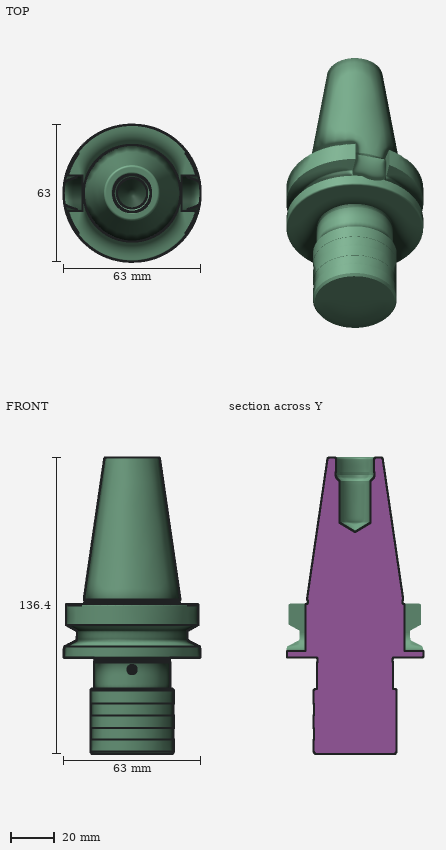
import cadquery as cq
import math

total_height = 136.4
taper_ratio = 7 / 24
gauge_height = 71.0
gauge_radius = 22.2
taper_top_fillet = 1.1
taper_relief_depth = 0.4

relief_parts = 3

flange_radius = 31.5
flange_bottom = 44.2
flange_top = 69.0
flange_edge_fillet = 0.8
grip_groove_radius = 26.6
grip_groove_floor_bottom = 52.2
grip_groove_floor_top = 56.6
grip_groove_angle = 30.0
grip_groove_fillet = 0.5

slot_width = 16.1
slot_floor_distance = 22.8
slot_bottom = 47.6

neck_radius = 17.6
neck_relief_height = 2.0
neck_relief_depth = 0.3

collar_radius = 19.2
collar_top = 30.1
collar_top_chamfer = 0.8
collar_bottom_chamfer_height = 1.2
collar_bottom_chamfer_width = 0.8
band_bottoms = (6.7, 17.9)
band_width = 5.3
band_depth = 0.1

bore_radius = 8.6
bore_depth = 7.0
bore_mouth_fillet = 1.1
undercut_radius = 8.9
undercut_wall_depth = 8.2
countersink_start_depth = 9.4
countersink_start_radius = 8.5
thread_radius = 7.0
thread_end_depth = 30.0
drill_tip_angle = 118.0

screw_height = 38.9
screw_steps = ((2.0, 0.5), (1.4, 1.1), (0.7, 1.6))


def revolve_profile(profile):
    return profile.close().revolve(360, (0, 0), (0, 1))


def make_shank_and_collar():
    taper_top_radius = gauge_radius - (total_height - gauge_height) * taper_ratio / 2
    neck_relief_bottom = flange_bottom - neck_relief_height
    neck_relief_side = neck_relief_height / relief_parts
    taper_relief_side = (gauge_height - flange_top) / relief_parts
    profile = (
        cq.Workplane("XZ")
        .lineTo(collar_radius - collar_bottom_chamfer_width, 0)
        .lineTo(collar_radius, collar_bottom_chamfer_height)
        .lineTo(collar_radius, collar_top - collar_top_chamfer)
        .lineTo(collar_radius - collar_top_chamfer, collar_top)
        .lineTo(neck_radius, collar_top)
        .lineTo(neck_radius, neck_relief_bottom)
        .lineTo(neck_radius - neck_relief_depth, neck_relief_bottom + neck_relief_side)
        .lineTo(neck_radius - neck_relief_depth, flange_bottom - neck_relief_side)
        .lineTo(neck_radius, flange_bottom)
        .lineTo(gauge_radius, flange_bottom)
        .lineTo(gauge_radius, flange_top)
        .lineTo(gauge_radius - taper_relief_depth, flange_top + taper_relief_side)
        .lineTo(gauge_radius - taper_relief_depth, gauge_height - taper_relief_side)
        .lineTo(gauge_radius, gauge_height)
        .lineTo(taper_top_radius, total_height)
        .lineTo(0, total_height)
    )
    return revolve_profile(profile).faces(">Z").edges().fillet(taper_top_fillet)


def make_flange():
    groove_side_height = (flange_radius - grip_groove_radius) * math.tan(math.radians(grip_groove_angle))
    outline = [
        (0, flange_bottom),
        (flange_radius, flange_bottom),
        (flange_radius, grip_groove_floor_bottom - groove_side_height),
        (grip_groove_radius, grip_groove_floor_bottom),
        (grip_groove_radius, grip_groove_floor_top),
        (flange_radius, grip_groove_floor_top + groove_side_height),
        (flange_radius, flange_top),
        (0, flange_top),
    ]
    flange = revolve_profile(cq.Workplane("XZ").polyline(outline))
    flange = flange.edges(cq.selectors.RadiusNthSelector(0)).fillet(grip_groove_fillet)
    return flange.faces("<Z or >Z").edges().fillet(flange_edge_fillet)


def make_bore():
    countersink_end_depth = countersink_start_depth + countersink_start_radius - thread_radius
    tip_depth = thread_end_depth + thread_radius / math.tan(math.radians(drill_tip_angle / 2))
    mouth_arc_inset = bore_mouth_fillet * (1 - math.sqrt(0.5))
    profile = (
        cq.Workplane("XZ", origin=(0, 0, total_height))
        .lineTo(bore_radius + bore_mouth_fillet, 0)
        .threePointArc(
            (bore_radius + mouth_arc_inset, -mouth_arc_inset),
            (bore_radius, -bore_mouth_fillet),
        )
        .lineTo(bore_radius, -bore_depth)
        .lineTo(undercut_radius, -bore_depth)
        .lineTo(undercut_radius, -undercut_wall_depth)
        .lineTo(countersink_start_radius, -countersink_start_depth)
        .lineTo(thread_radius, -countersink_end_depth)
        .lineTo(thread_radius, -thread_end_depth)
        .lineTo(0, -tip_depth)
    )
    return revolve_profile(profile)


def make_drive_slot(side):
    half_width = slot_width / 2
    arc_start_height = slot_bottom + half_width
    return (
        cq.Workplane("YZ", origin=(side * slot_floor_distance, 0, 0))
        .moveTo(-half_width, flange_top)
        .lineTo(-half_width, arc_start_height)
        .threePointArc((0, slot_bottom), (half_width, arc_start_height))
        .lineTo(half_width, flange_top)
        .close()
        .extrude(side * flange_radius)
    )


def make_band(bottom):
    return (
        cq.Workplane("XY", origin=(0, 0, bottom))
        .circle(collar_radius)
        .circle(collar_radius - band_depth)
        .extrude(band_width)
    )


def make_screw_step(radius, depth):
    return (
        cq.Workplane("XZ", origin=(0, depth - neck_radius, screw_height))
        .circle(radius)
        .extrude(2 * depth)
    )


result = make_shank_and_collar().union(make_flange()).cut(make_bore())
for side in (-1, 1):
    result = result.cut(make_drive_slot(side))
for band_bottom in band_bottoms:
    result = result.cut(make_band(band_bottom))
for step_radius, step_depth in screw_steps:
    result = result.cut(make_screw_step(step_radius, step_depth))